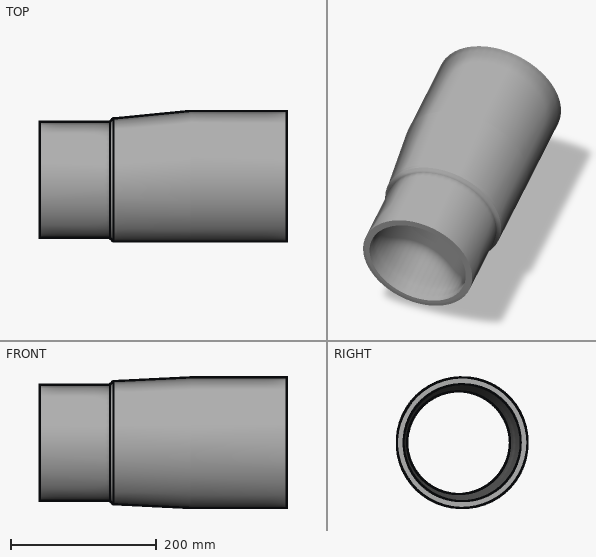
import cadquery as cq

total_length = 340.0
small_diameter = 160.0
large_diameter = 180.0
wall = 9.5

small_spigot_length = 96.5
collar_chamfer = 5.0
collar_land = 5.0
large_spigot_length = 132.0

collar_diameter = small_diameter + 2 * collar_chamfer

collar_start = small_spigot_length
taper_start = collar_start + collar_chamfer + collar_land
taper_end = total_length - large_spigot_length

large_axis_y = 0.0
small_axis_y = large_axis_y - (large_diameter - collar_diameter) / 2


def disc(x, axis_y, diameter):
    """Circle sketch in the plane at x, centred on a pipe axis."""
    return cq.Workplane("YZ", origin=(x, axis_y, 0)).circle(diameter / 2)


def cylinder(start, end, axis_y, diameter):
    """Round bar along X between two stations."""
    return disc(start, axis_y, diameter).extrude(end - start)


def oblique_cone(small_end_diameter, large_end_diameter):
    """Taper between the small axis and the large axis."""
    length = taper_end - taper_start
    axis_shift = large_axis_y - small_axis_y
    return (
        disc(taper_start, small_axis_y, small_end_diameter)
        .workplane(offset=length)
        .center(axis_shift, 0)
        .circle(large_end_diameter / 2)
        .loft(ruled=True)
    )


def outer_body():
    """Outside of the reducer as a solid bar."""
    small_spigot = cylinder(0, taper_start, small_axis_y, small_diameter)
    collar = cylinder(collar_start, taper_start, small_axis_y, collar_diameter)
    collar = collar.faces("<X").chamfer(collar_chamfer)
    taper = oblique_cone(collar_diameter, large_diameter)
    large_spigot = cylinder(taper_end, total_length, large_axis_y, large_diameter)
    return small_spigot.union(collar).union(taper).union(large_spigot)


def bore():
    """Passage following the outside: straight, tapered, straight."""
    small_bore_diameter = small_diameter - 2 * wall
    large_bore_diameter = large_diameter - 2 * wall
    small_bore = cylinder(0, taper_start, small_axis_y, small_bore_diameter)
    taper = oblique_cone(small_bore_diameter, large_bore_diameter)
    large_bore = cylinder(taper_end, total_length, large_axis_y, large_bore_diameter)
    return small_bore.union(taper).union(large_bore)


result = outer_body().cut(bore())